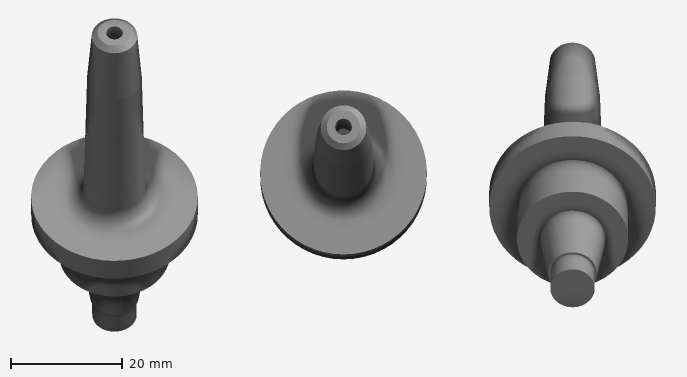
import cadquery as cq

pin_length = 5.2
lower_taper_length = 11.8
hub_length = 11.0
flange_thickness = 5.0
shank_length = 33.2
tip_taper_length = 12.0
tip_chamfer_height = 0.8

pin_diameter = 8.0
lower_taper_small_diameter = 8.8
lower_taper_large_diameter = 12.0
hub_diameter = 20.0
flange_diameter = 30.0
shank_base_diameter = 11.3
shank_top_diameter = 9.9
tip_diameter = 8.2
tip_end_diameter = 6.0

shank_fillet_radius = 3.0

hole_diameter = 3.0
hole_depth = 10.0

lower_taper_z = pin_length
hub_z = lower_taper_z + lower_taper_length
flange_z = hub_z + hub_length
shank_z = flange_z + flange_thickness
tip_taper_z = shank_z + shank_length
tip_chamfer_z = tip_taper_z + tip_taper_length
top_z = tip_chamfer_z + tip_chamfer_height


def round_section(bottom_z, height, bottom_diameter, top_diameter):
    """Cylinder or cone section on the Z axis."""
    profile = (
        cq.Workplane("XZ")
        .moveTo(0, bottom_z)
        .lineTo(bottom_diameter / 2, bottom_z)
        .lineTo(top_diameter / 2, bottom_z + height)
        .lineTo(0, bottom_z + height)
        .close()
    )
    return profile.revolve(360, (0, 0, 0), (0, 1, 0))


def make_lower_end():
    """Pin, taper and hub below the flange."""
    pin = round_section(0, pin_length, pin_diameter, pin_diameter)
    taper = round_section(
        lower_taper_z, lower_taper_length, lower_taper_small_diameter, lower_taper_large_diameter
    )
    hub = round_section(hub_z, hub_length, hub_diameter, hub_diameter)
    return pin.union(taper).union(hub)


def make_flanged_shank():
    """Flange and tapered shank, blended by a fillet at the shank root."""
    flange = round_section(flange_z, flange_thickness, flange_diameter, flange_diameter)
    shank = round_section(shank_z, shank_length, shank_base_diameter, shank_top_diameter)
    root_edge = cq.selectors.RadiusNthSelector(1)
    return flange.union(shank).edges(root_edge).fillet(shank_fillet_radius)


def make_tip():
    """Steeper taper at the top, ending in a chamfer."""
    taper = round_section(tip_taper_z, tip_taper_length, shank_top_diameter, tip_diameter)
    chamfer = round_section(tip_chamfer_z, tip_chamfer_height, tip_diameter, tip_end_diameter)
    return taper.union(chamfer)


def make_tip_hole():
    """Flat-bottomed hole that opens at the top end."""
    return round_section(top_z - hole_depth, hole_depth, hole_diameter, hole_diameter)


result = make_lower_end().union(make_flanged_shank()).union(make_tip()).cut(make_tip_hole())